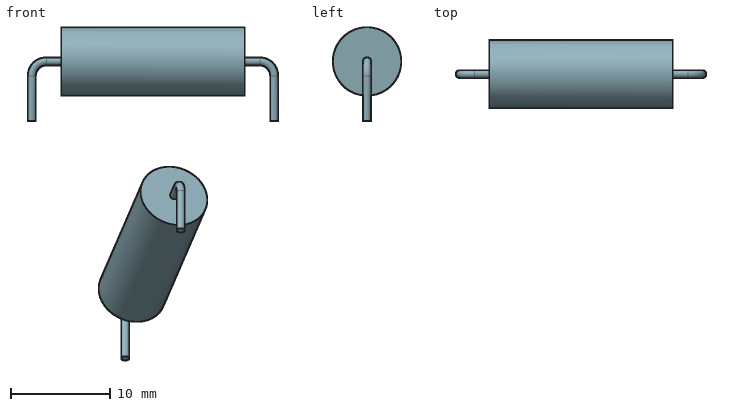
import cadquery as cq

overall_length = 25.22
overall_height = 9.45

body_diameter = 6.9
body_length = 18.49

wire_diameter = 0.83
bend_radius = 1.45

lead_x = (overall_length - wire_diameter) / 2
lead_bottom_z = body_diameter / 2 - overall_height


def make_body():
    """Plain cylinder along X."""
    return (
        cq.Workplane("YZ", origin=(-body_length / 2, 0, 0))
        .circle(body_diameter / 2)
        .extrude(body_length)
    )


def make_lead(side):
    """Round wire from the centre of one end face, bent down; side is +1 for +X, -1 for -X."""
    face_x = side * body_length / 2
    bend_start_x = side * (lead_x - bend_radius)
    path = (
        cq.Workplane("XZ")
        .moveTo(face_x, 0)
        .lineTo(bend_start_x, 0)
        .tangentArcPoint((side * lead_x, -bend_radius), relative=False)
        .lineTo(side * lead_x, lead_bottom_z)
    )
    return (
        cq.Workplane("YZ", origin=(face_x, 0, 0))
        .circle(wire_diameter / 2)
        .sweep(path)
    )


body = make_body()
leads = [make_lead(side) for side in (-1, 1)]

result = cq.Compound.makeCompound([body.val(), *[lead.val() for lead in leads]])